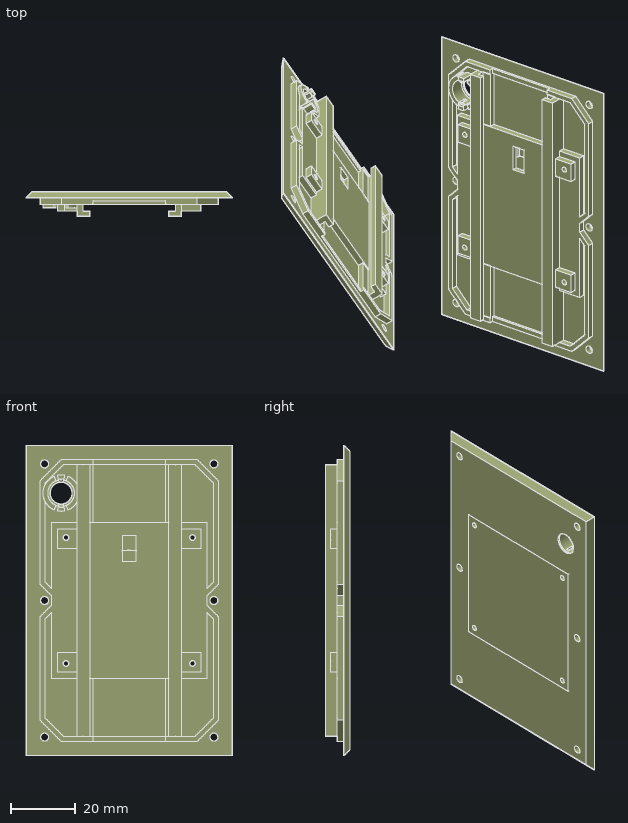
import cadquery as cq


plate_width = 63.6
plate_length = 95.6
plate_thickness = 2.0
bevel = 1.8

mount_hole_diameter = 2.4
mount_hole_x = 26.1
mount_hole_z = 42.1

rim_half_width = 27.5
rim_half_length = 43.5
rim_wall = 1.6
rim_top = 4.0
rim_corner_cut = 6.6
rim_gap_top = 2.8
rim_notch_half_length = 1.5

platform_half_size = 24.0
platform_top = rim_top
rim_notch_depth = rim_half_width - platform_half_size

rail_outer_x = 16.1
rail_width = 4.0
rail_web = 1.9
rail_top = 7.6
rail_lip_base = 6.0
rail_half_length = rim_half_length - rim_wall
channel_half_width = 11.2
foot_top = 3.7

pad_top = 6.0
pad_outer = 22.1
pad_length = 6.0
screw_hole_diameter = 1.65
screw_x = 19.5
screw_z = 19.4

window_half_width = 2.1
window_bottom = 12.0
window_top = 20.0

cavity_half_size = pad_outer
cavity_top = 2.5
insert_thickness = 1.6
disc_pocket_diameter = 31.0
disc_pocket_floor = 0.6
wire_slot_floor = 0.8

socket_x = -21.0
socket_z = 33.1
socket_diameter = 11.2
socket_top = 5.0
seat_diameter = 8.2
seat_floor = 0.5
bore_diameter = 6.7
clip_gap_angle = 45.0
clip_angle = 23.0
clip_top = 6.0
clip_hook_base = 5.3
clip_crest_radius = 4.4
clip_tip_radius = 3.5


def block(x_min, x_max, z_min, z_max, bottom, top):
    """Box between two heights above the rear face."""
    return cq.Workplane("XY").box(
        x_max - x_min, top - bottom, z_max - z_min, centered=False
    ).translate((x_min, -top, z_min))


def cylinder(x, z, diameter, bottom, top):
    """Round column along Y between two heights above the rear face."""
    return (
        cq.Workplane("XZ", origin=(x, -bottom, z))
        .circle(diameter / 2)
        .extrude(top - bottom)
    )


def screw_holes():
    """Four screw holes, long enough to pass through every layer."""
    return (
        cq.Workplane("XZ")
        .rect(2 * screw_x, 2 * screw_z, forConstruction=True)
        .vertices()
        .circle(screw_hole_diameter / 2)
        .extrude(pad_top)
    )


def base_plate():
    plate = (
        cq.Workplane("XZ")
        .rect(plate_width, plate_length)
        .extrude(plate_thickness)
        .faces(">Y")
        .chamfer(bevel)
    )
    for x in (-mount_hole_x, mount_hole_x):
        for z in (-mount_hole_z, 0, mount_hole_z):
            plate = plate.cut(cylinder(x, z, mount_hole_diameter, 0, plate_thickness))
    return plate


def rim_outline():
    notch_start = rim_notch_half_length + rim_notch_depth
    notch_x = rim_half_width - rim_notch_depth
    quarter = [
        (notch_x, rim_notch_half_length),
        (rim_half_width, notch_start),
        (rim_half_width, rim_half_length - rim_corner_cut),
        (rim_half_width - rim_corner_cut, rim_half_length),
    ]
    right = [(x, -z) for x, z in reversed(quarter)] + quarter
    left = [(-x, -z) for x, z in right]
    return cq.Workplane("XZ", origin=(0, -plate_thickness, 0)).polyline(right + left).close()


def rim():
    height = rim_top - plate_thickness
    ring = rim_outline().extrude(height).cut(rim_outline().offset2D(-rim_wall).extrude(height))
    gap = block(
        -channel_half_width, channel_half_width, -rim_half_length, rim_half_length, rim_gap_top, rim_top
    )
    return ring.cut(gap)


def rail():
    """Rail on the +X side: foot, upright web and a lip pointing to the middle."""
    web_x = rail_outer_x - rail_web
    lip_x = rail_outer_x - rail_width
    ends = (-rail_half_length, rail_half_length)
    foot = block(channel_half_width, rail_outer_x, *ends, plate_thickness, foot_top)
    web = block(web_x, rail_outer_x, *ends, plate_thickness, rail_top)
    lip = block(lip_x, rail_outer_x, *ends, rail_lip_base, rail_top)
    return foot.union(web).union(lip)


def pad(z_min):
    """Screw pad on the +X side, reaching from its outer edge to the rail."""
    return block(rail_outer_x, pad_outer, z_min, z_min + pad_length, platform_top, pad_top)


def around_socket(profile, angle):
    """Turn a (radius, height) profile about the socket axis, centred on its upper side."""
    return (
        cq.Workplane("YZ")
        .polyline([(-height, radius) for radius, height in profile])
        .close()
        .revolve(angle, (0, 0), (1, 0))
        .rotate((0, 0, 0), (0, 1, 0), -angle / 2)
        .translate((socket_x, 0, socket_z))
    )


def opposite(upper):
    """Mirror an upper feature of the socket to its lower side."""
    return upper.mirror("XY", (0, 0, socket_z))


def socket_ring():
    """Ring on the plate, open above and below where the clips stand."""
    outer = socket_diameter / 2
    ring = cylinder(socket_x, socket_z, socket_diameter, plate_thickness, socket_top)
    gap = around_socket(
        [(0, plate_thickness), (outer, plate_thickness), (outer, socket_top), (0, socket_top)],
        clip_gap_angle,
    )
    return ring.cut(gap).cut(opposite(gap))


def snap_clip():
    """Upper clip: a curved post whose sloping hook leans over the seat."""
    outer = socket_diameter / 2
    inner = seat_diameter / 2
    profile = [
        (inner, plate_thickness),
        (outer, plate_thickness),
        (outer, clip_top),
        (clip_crest_radius, clip_top),
        (clip_tip_radius, clip_hook_base),
        (inner, clip_hook_base),
    ]
    return around_socket(profile, clip_angle)


def build_housing():
    size = platform_half_size
    body = base_plate().union(rim())
    body = body.union(block(-size, size, -size, size, plate_thickness, platform_top))
    right_side = rail()
    for z_min in (pad_outer - pad_length, -pad_outer):
        right_side = right_side.union(pad(z_min))
    body = body.union(right_side).union(right_side.mirror("YZ"))

    upper_clip = snap_clip()
    body = body.union(socket_ring())
    body = body.cut(cylinder(socket_x, socket_z, seat_diameter, seat_floor, socket_top))
    body = body.cut(cylinder(socket_x, socket_z, bore_diameter, 0, seat_floor))
    body = body.union(upper_clip).union(opposite(upper_clip))

    half = cavity_half_size
    body = body.cut(block(-half, half, -half, half, 0, cavity_top))
    window = block(
        -window_half_width, window_half_width, window_bottom, window_top, cavity_top, platform_top
    )
    return body.cut(window).cut(screw_holes())


def build_insert():
    """Plate that closes the cavity, with a round pocket and a slot running out of it."""
    half = cavity_half_size
    plate = block(-half, half, -half, half, 0, insert_thickness)
    pocket = cylinder(0, 0, disc_pocket_diameter, disc_pocket_floor, insert_thickness)
    slot = block(
        -window_half_width, window_half_width, window_bottom, window_top, wire_slot_floor, insert_thickness
    )
    return plate.cut(pocket).cut(slot).cut(screw_holes())


housing = build_housing()
insert = build_insert()

result = cq.Compound.makeCompound([housing.val(), insert.val()])